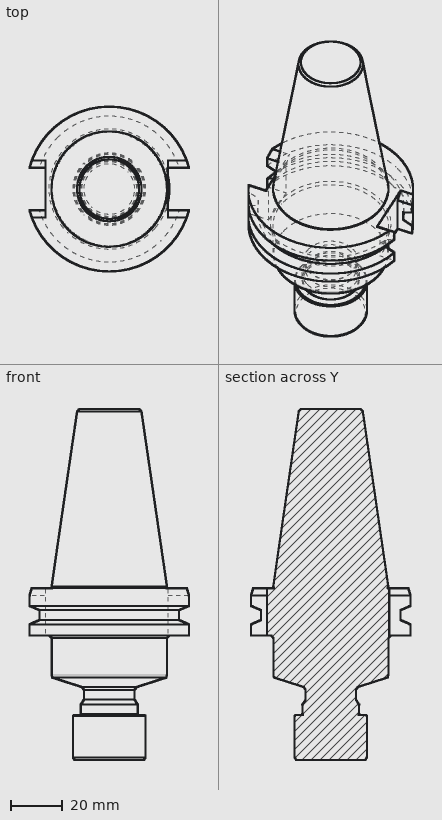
import cadquery as cq

total_height = 135.2
nut_top = 17.5
collar_shoulder = 21.4
neck_bottom = 23.4
neck_top = 27.0
cone_bottom = 28.1
cone_top = 31.8
flange_bottom = 48.0
flange_top = 66.3
taper_base = 67.0

nut_radius = 28.0 / 2
collar_radius = 22.0 / 2
neck_radius = 19.5 / 2
cone_small_radius = 10.5
body_radius = 44.5 / 2
flange_radius = 63.5 / 2
relief_radius = 43.8 / 2

taper_slope = 7 / 48

nut_bottom_chamfer_width = 0.7
nut_bottom_chamfer_height = 1.1
nut_top_chamfer = 0.4
collar_chamfer = 0.4
body_edge_width = 0.3
body_edge_height = 1.1
flange_chamfer = 1.0
taper_end_chamfer = 1.0

groove_radius = 28.1
groove_start = 52.3
groove_floor_start = 54.0
groove_floor_end = 57.8
groove_end = 59.4

slot_width = 16.2
left_slot_floor = 24.6
right_slot_floor = 22.6
slot_chamfer = 2.8


def taper_radius(height):
    return body_radius - taper_slope * (height - taper_base)


def turned_body():
    """Revolve the whole holder profile, from the nut up to the taper end."""
    taper_end = total_height - taper_end_chamfer
    taper_end_radius = taper_radius(taper_end)
    profile = [
        (0, 0),
        (nut_radius - nut_bottom_chamfer_width, 0),
        (nut_radius, nut_bottom_chamfer_height),
        (nut_radius, nut_top - nut_top_chamfer),
        (nut_radius - nut_top_chamfer, nut_top),
        (collar_radius - collar_chamfer, nut_top),
        (collar_radius, nut_top + collar_chamfer),
        (collar_radius, collar_shoulder),
        (neck_radius, neck_bottom),
        (neck_radius, neck_top),
        (cone_small_radius, cone_bottom),
        (body_radius - body_edge_width, cone_top),
        (body_radius, cone_top + body_edge_height),
        (body_radius, flange_bottom - flange_chamfer),
        (body_radius + flange_chamfer, flange_bottom),
        (flange_radius, flange_bottom),
        (flange_radius, groove_start),
        (groove_radius, groove_floor_start),
        (groove_radius, groove_floor_end),
        (flange_radius, groove_end),
        (flange_radius, flange_top),
        (relief_radius, flange_top),
        (body_radius, taper_base),
        (taper_end_radius, taper_end),
        (taper_end_radius - taper_end_chamfer, total_height),
        (0, total_height),
    ]
    return cq.Workplane("XZ").polyline(profile).close().revolve(360, (0, 0), (0, 1))


def drive_slot(side, floor_distance):
    """Cutter for one slot, open outwards and flared at the flange's top face."""
    half_width = slot_width / 2
    flare_half_width = half_width + slot_chamfer
    outline = [
        (-half_width, flange_bottom),
        (half_width, flange_bottom),
        (half_width, flange_top - slot_chamfer),
        (flare_half_width, flange_top),
        (-flare_half_width, flange_top),
        (-half_width, flange_top - slot_chamfer),
    ]
    return (
        cq.Workplane("YZ", origin=(side * floor_distance, 0, 0))
        .polyline(outline)
        .close()
        .extrude(side * flange_radius)
    )


result = turned_body()
for side, floor_distance in ((-1, left_slot_floor), (1, right_slot_floor)):
    result = result.cut(drive_slot(side, floor_distance))